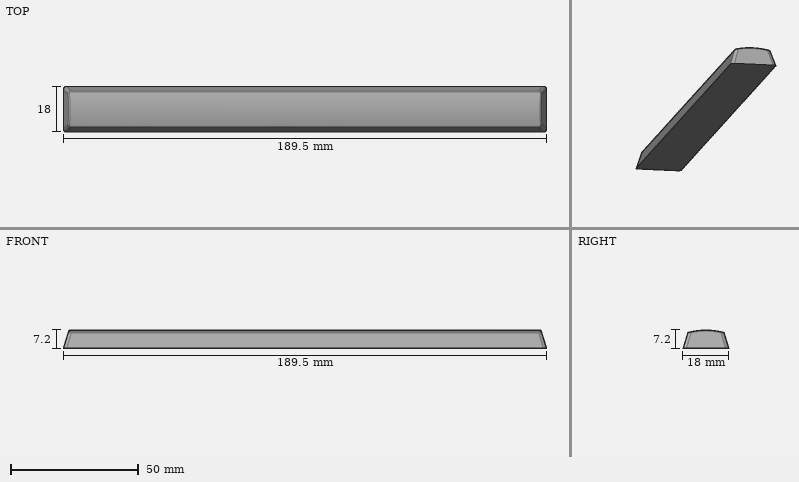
import cadquery as cq
import math

length = 189.5
width = 18.0
height = 7.2

draft_angle = 17.0
shoulder_height = 6.3
corner_radius = 1.3
top_edge_radius = 0.5


def wall_inset(level):
    """Distance the walls have leaned inward at a given height."""
    return level * math.tan(math.radians(draft_angle))


def tapered_block():
    """Rectangular block with leaning walls and rounded upright corners."""
    inset = wall_inset(height)
    block = (
        cq.Workplane("XY")
        .rect(length, width)
        .workplane(offset=height)
        .rect(length - 2 * inset, width - 2 * inset)
        .loft(combine=True)
    )
    return block.edges("not(#Z)").fillet(corner_radius)


def domed_envelope():
    """Prism along X whose arched top trims the block to its crowned surface."""
    half_width = width / 2
    half_chord = half_width - wall_inset(shoulder_height)
    crown_rise = height - shoulder_height
    dome_radius = (half_chord**2 + crown_rise**2) / (2 * crown_rise)
    dome_center_height = height - dome_radius
    arch_end_height = dome_center_height + math.sqrt(dome_radius**2 - half_width**2)
    return (
        cq.Workplane("YZ")
        .moveTo(-half_width, 0)
        .lineTo(half_width, 0)
        .lineTo(half_width, arch_end_height)
        .threePointArc((0, height), (-half_width, arch_end_height))
        .close()
        .extrude(length / 2, both=True)
    )


bar = tapered_block().intersect(domed_envelope())
result = bar.faces(">Z").edges().fillet(top_edge_radius)